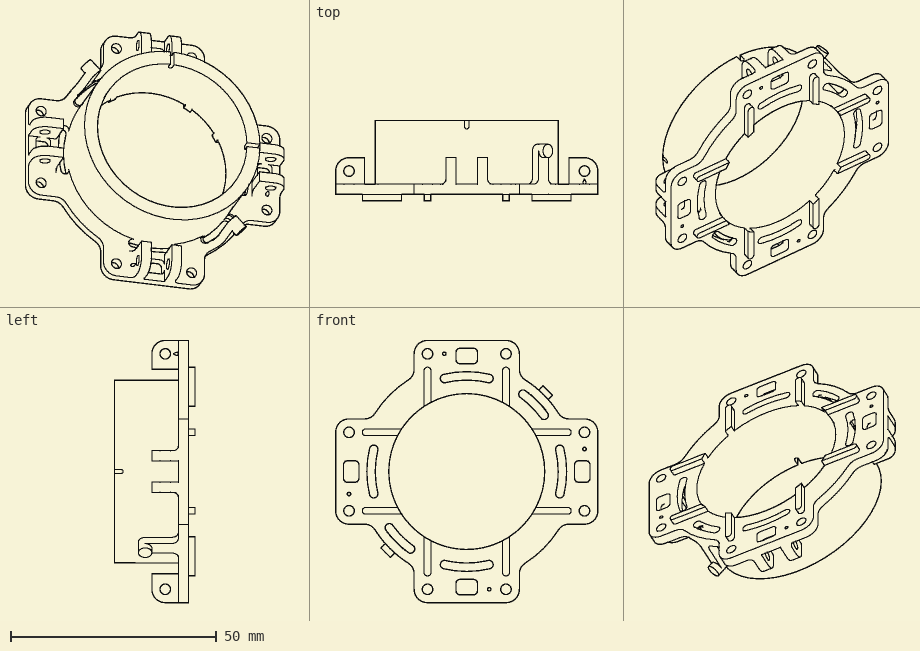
import cadquery as cq
import math


overall_width = 63.71
overall_depth = 19.55
plate_thickness = 2.5
rib_height = 1.55
tube_height = overall_depth - plate_thickness - rib_height
half_width = overall_width / 2

bore_radius = 18.9
tube_radius = 22.22
disc_radius = 26.4

hole_pitch = 19.05
hole_offset = hole_pitch / 2
hole_reach = 1.5 * hole_pitch
hole_diameter = 2.5
corner_radius = half_width - hole_reach
tab_half_width = hole_offset + corner_radius
neck_radius = 3.0

lug_gap = 5.15
lug_thickness = 2.5
lug_height = 6.45
lug_inner_reach = 24.8
lug_root_radius = 1.2

window_inner_reach = 26.2
window_outer_reach = 29.9
window_corner_radius = 0.95
slot_width = 2.0
slot_mid_radius = tube_radius + slot_width / 2
tab_slot_half_angle = 13.4
peg_slot_half_angle = 9.0
peg_slot_lip = 1.65
peg_slot_relief_half_angle = 11.5
pilot_diameter = 0.8
pilot_offset = 5.47

rib_width = 1.64
rib_end_reach = 25.34

peg_diameter = 3.28
peg_height = 8.05
peg_inner_radius = tube_radius + slot_width
peg_outer_radius = 27.85
peg_root_radius = 1.6

notch_width = 1.0
notch_depth = 2.1

tab_angles = (0, 90, 180, 270)
peg_angles = (45, 225)
notch_angles = (90, 180)


def turned(shape, angle):
    """Turn a shape about the ring's axis, from +X toward +Z."""
    return shape.rotate((0, 0, 0), (0, -1, 0), angle)


def along_axis(start, end, outline):
    """Extrude an outline, drawn as X and Z, from Y = start to Y = end."""
    plane = cq.Workplane("XZ", origin=(0, start, 0))
    return outline(plane).extrude(start - end)


def through_plate(outline, start=0):
    """Extrude an outline from Y = start to the plate's back face."""
    return along_axis(start, plate_thickness, outline)


def block(x_range, y_range, z_range):
    """Box spanning the given ranges along X, Y and Z."""
    sizes = [high - low for low, high in (x_range, y_range, z_range)]
    corner = (x_range[0], y_range[0], z_range[0])
    return cq.Workplane("XY").box(*sizes, centered=False).translate(corner)


def make_neck_fillet(side):
    """Concave blend between one edge of the +X tab and the disc."""
    center_z = tab_half_width + neck_radius
    center_distance = disc_radius + neck_radius
    center_x = math.sqrt(center_distance**2 - center_z**2)
    on_disc = disc_radius / center_distance
    middle_angle = (math.atan2(center_z, center_x) + math.pi / 2) / 2
    middle = (
        center_x - neck_radius * math.cos(middle_angle),
        side * (center_z - neck_radius * math.sin(middle_angle)),
    )

    def outline(plane):
        return (
            plane.moveTo(center_x, side * tab_half_width)
            .threePointArc(middle, (center_x * on_disc, side * center_z * on_disc))
            .lineTo(bore_radius, side * hole_offset)
            .close()
        )

    return through_plate(outline)


def make_tab():
    tab = block((0, half_width), (0, plate_thickness), (-tab_half_width, tab_half_width))
    tab = tab.edges("|Y and >X").fillet(corner_radius)
    for side in (-1, 1):
        tab = tab.union(make_neck_fillet(side))
    return tab


def make_lug(side):
    """Drilled lug on the back of the +X tab, with a fillet along its outer root."""
    back = plate_thickness
    top = back + lug_height
    inner_face = lug_gap / 2
    outer_face = inner_face + lug_thickness
    lug = block((lug_inner_reach, half_width), (0, top), (inner_face, outer_face))
    lug = lug.edges("|Z and >X and >Y").fillet(corner_radius)

    root = block(
        (lug_inner_reach, half_width),
        (back, back + lug_root_radius),
        (outer_face, outer_face + lug_root_radius),
    )
    root_cut = (
        cq.Workplane("YZ", origin=(lug_inner_reach, 0, 0))
        .center(back + lug_root_radius, outer_face + lug_root_radius)
        .circle(lug_root_radius)
        .extrude(half_width - lug_inner_reach)
    )
    lug = lug.union(root.cut(root_cut))

    hole = (
        cq.Workplane("XY")
        .center(hole_reach, top - corner_radius)
        .circle(hole_diameter / 2)
        .extrude(outer_face)
    )
    lug = lug.cut(hole)
    return lug if side > 0 else lug.mirror("XY")


def make_rib(side):
    """Round-ended rib on the front of the +X tab, running in to the bore."""
    def outline(plane):
        length = rib_end_reach
        return plane.center(length / 2, side * hole_offset).slot2D(length, rib_width)

    return along_axis(-rib_height, 0, outline)


def make_arc_slot(half_angle, start=0):
    """Round-ended slot following the ring, centred on +X and open to the back face."""
    half_angle = math.radians(half_angle)
    inner_radius = slot_mid_radius - slot_width / 2
    outer_radius = slot_mid_radius + slot_width / 2
    cap_angle = half_angle + slot_width / 2 / slot_mid_radius

    def polar(radius, angle):
        return (radius * math.cos(angle), radius * math.sin(angle))

    def outline(plane):
        return (
            plane.moveTo(*polar(inner_radius, -half_angle))
            .threePointArc((inner_radius, 0), polar(inner_radius, half_angle))
            .threePointArc(polar(slot_mid_radius, cap_angle), polar(outer_radius, half_angle))
            .threePointArc((outer_radius, 0), polar(outer_radius, -half_angle))
            .threePointArc(polar(slot_mid_radius, -cap_angle), polar(inner_radius, -half_angle))
            .close()
        )

    return through_plate(outline, start)


def make_tab_cuts():
    """Window, arc slot, screw holes and pilot hole of the +X tab."""
    window = block(
        (window_inner_reach, window_outer_reach),
        (0, plate_thickness),
        (-lug_gap / 2, lug_gap / 2),
    )
    cuts = window.edges("|Y").fillet(window_corner_radius)
    cuts = cuts.union(make_arc_slot(tab_slot_half_angle))

    def screw_holes(plane):
        places = [(hole_reach, -hole_offset), (hole_reach, hole_offset)]
        return plane.pushPoints(places).circle(hole_diameter / 2)

    def pilot_hole(plane):
        return plane.center(hole_reach, pilot_offset).circle(pilot_diameter / 2)

    cuts = cuts.union(through_plate(screw_holes))
    return cuts.union(along_axis(0, plate_thickness + lug_root_radius, pilot_hole))


def make_peg_slot():
    """Arc slot in front of a peg, longer behind a lip at the front face."""
    relief = make_arc_slot(peg_slot_relief_half_angle, start=peg_slot_lip)
    return make_arc_slot(peg_slot_half_angle).union(relief)


def make_peg():
    """Radial pin along +X, carried by a post with filleted roots."""
    back = plate_thickness
    radius = peg_diameter / 2
    axis_y = back + peg_height
    foot_half_width = radius + peg_root_radius
    root_y = back + peg_root_radius
    post = block((peg_inner_radius, peg_outer_radius), (0, axis_y), (-radius, radius))
    for side in (-1, 1):
        low, high = sorted((side * radius, side * foot_half_width))
        root = block((peg_inner_radius, peg_outer_radius), (back, root_y), (low, high))
        root_cut = (
            cq.Workplane("YZ", origin=(peg_inner_radius, 0, 0))
            .center(root_y, side * foot_half_width)
            .circle(peg_root_radius)
            .extrude(peg_outer_radius - peg_inner_radius)
        )
        post = post.union(root.cut(root_cut))

    def post_limits(plane):
        return plane.circle(disc_radius).circle(peg_inner_radius)

    post = post.intersect(along_axis(0, axis_y, post_limits))
    pin = (
        cq.Workplane("YZ", origin=(peg_inner_radius, 0, 0))
        .center(axis_y, 0)
        .circle(radius)
        .extrude(peg_outer_radius - peg_inner_radius)
    )
    return post.union(pin)


def make_notch():
    """Round-bottomed notch through the tube wall on the +X side."""
    rim = plate_thickness + tube_height
    radius = notch_width / 2
    bottom_center = rim - notch_depth + radius
    slot = block((bore_radius - radius, tube_radius), (bottom_center, rim), (-radius, radius))
    bottom = (
        cq.Workplane("YZ", origin=(bore_radius - radius, 0, 0))
        .center(bottom_center, 0)
        .circle(radius)
        .extrude(tube_radius - bore_radius + radius)
    )
    return slot.union(bottom)


body = through_plate(lambda plane: plane.circle(disc_radius))
body = body.union(
    along_axis(0, plate_thickness + tube_height, lambda plane: plane.circle(tube_radius))
)
for angle in tab_angles:
    body = body.union(turned(make_tab(), angle))
    for side in (-1, 1):
        body = body.union(turned(make_lug(side), angle))
        body = body.union(turned(make_rib(side), angle))
for angle in peg_angles:
    body = body.union(turned(make_peg(), angle))

body = body.cut(
    along_axis(-rib_height, plate_thickness + tube_height, lambda plane: plane.circle(bore_radius))
)
for angle in tab_angles:
    body = body.cut(turned(make_tab_cuts(), angle))
for angle in peg_angles:
    body = body.cut(turned(make_peg_slot(), angle))
for angle in notch_angles:
    body = body.cut(turned(make_notch(), angle))

result = body